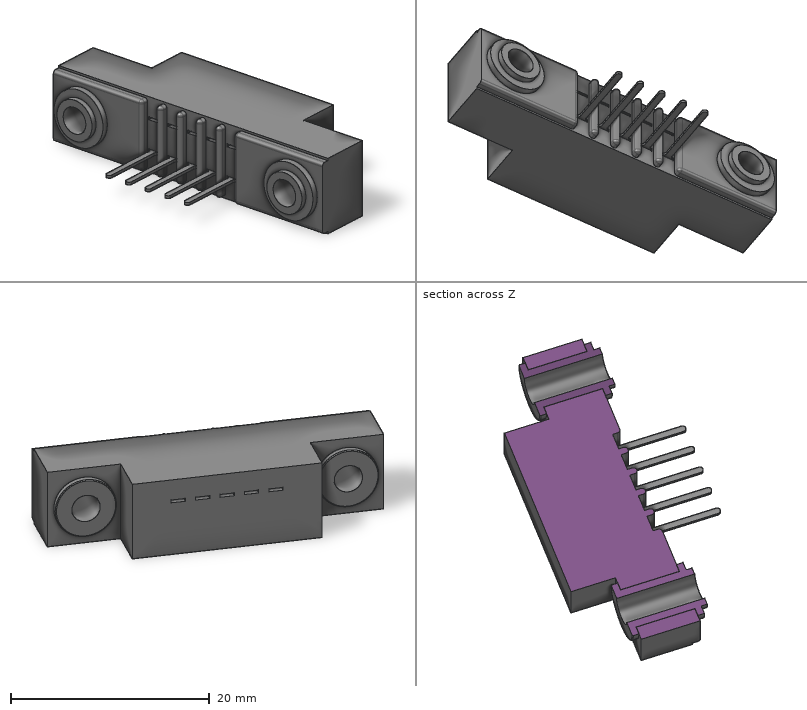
import cadquery as cq


LENGTH = 34.92
HEIGHT = 8.38
BODY_DEPTH = 5.48
TONGUE_LENGTH = 19.7
TONGUE_REACH = 10.23

RAISED_DEPTH = 0.87
RAISED_HEIGHT = 7.9
PAD_INNER_X = 5.95
RIB_WIDTH = 0.77
EDGE_RADIUS = RIB_WIDTH / 2

PIN_COUNT = 5
PIN_SPAN = 10.15
PITCH = PIN_SPAN / (PIN_COUNT - 1)
ROW_OFFSET = 1.78
SLOT_WIDTH = 1.45
SLOT_HEIGHT = 0.3

PIN_WIDTH = 0.65
PIN_REACH = 7.47
BLADE_DEPTH = 2.8
FLARE_RADIUS = (SLOT_WIDTH - PIN_WIDTH) / 2

EYELET_X = 13.62
BORE_RADIUS = 1.45
BARREL_RADIUS = 2.27
FLANGE_RADIUS = 3.18
FLANGE_THICKNESS = 0.7
COLLAR_LENGTH = 0.63
REAR_CHAMFER = 0.1


def centred_positions(count):
    """X positions of `count` features at the contact pitch, centred on X = 0."""
    return [(i - (count - 1) / 2) * PITCH for i in range(count)]


PIN_XS = centred_positions(PIN_COUNT)
RIB_XS = centred_positions(PIN_COUNT - 1)
EYELET_XS = [-EYELET_X, EYELET_X]


def block(x_size, y_start, y_end, z_size, x=0.0, z=0.0):
    """Box centred on x and z that spans y_start to y_end."""
    box = cq.Workplane("XY").box(x_size, y_end - y_start, z_size)
    return box.translate((x, (y_start + y_end) / 2, z))


def disc(radius, y_start, y_end, x=0.0):
    """Cylinder along Y that spans y_start to y_end."""
    return cq.Workplane("XZ", origin=(x, y_start, 0)).circle(radius).extrude(y_start - y_end)


def make_pad():
    """Raised pad at the +X end, rounded everywhere but on its outer end and its base."""
    pad_length = LENGTH / 2 - PAD_INNER_X
    pad_x = PAD_INNER_X + pad_length / 2
    pad = block(pad_length, -RAISED_DEPTH, 0, RAISED_HEIGHT, x=pad_x)
    return pad.edges("(<X and |Y) or (<Y and (not >X))").fillet(EDGE_RADIUS)


def make_rib(x):
    """Upright rib with a half-round crest and domed ends."""
    crest_y = EDGE_RADIUS - RAISED_DEPTH
    straight = RAISED_HEIGHT - RIB_WIDTH
    rib = cq.Workplane("XZ", origin=(x, 0, 0)).slot2D(RAISED_HEIGHT, RIB_WIDTH, 90).extrude(-crest_y)
    crest = cq.Workplane("XY", origin=(x, crest_y, -straight / 2)).circle(EDGE_RADIUS).extrude(straight)
    rib = rib.union(crest)
    for end_z in (-straight / 2, straight / 2):
        rib = rib.union(cq.Workplane("XY", origin=(x, crest_y, end_z)).sphere(EDGE_RADIUS))
    return rib


def make_housing():
    housing = block(LENGTH, 0, BODY_DEPTH, HEIGHT)
    housing = housing.union(block(TONGUE_LENGTH, 0, TONGUE_REACH, HEIGHT))

    pad = make_pad()
    housing = housing.union(pad).union(pad.mirror("YZ"))
    for x in RIB_XS:
        housing = housing.union(make_rib(x))

    for x in PIN_XS:
        housing = housing.cut(block(SLOT_WIDTH, 0, TONGUE_REACH, SLOT_HEIGHT, x=x, z=ROW_OFFSET))
        housing = housing.cut(block(SLOT_WIDTH, 0, BLADE_DEPTH, SLOT_HEIGHT, x=x, z=-ROW_OFFSET))

    for x in EYELET_XS:
        housing = housing.cut(disc(BARREL_RADIUS, -RAISED_DEPTH, BODY_DEPTH, x=x))
    return housing


def make_pin(x):
    """Flat pin: a wide blade in the housing, a concave flare and a round-tipped tail."""
    half_blade = SLOT_WIDTH / 2
    half_tail = PIN_WIDTH / 2
    tip_start = half_tail - PIN_REACH
    profile = (
        cq.Workplane("XY", origin=(x, 0, -ROW_OFFSET - SLOT_HEIGHT / 2))
        .moveTo(-half_blade, BLADE_DEPTH)
        .lineTo(-half_blade, 0)
        .radiusArc((-half_tail, -FLARE_RADIUS), FLARE_RADIUS)
        .lineTo(-half_tail, tip_start)
        .threePointArc((0, -PIN_REACH), (half_tail, tip_start))
        .lineTo(half_tail, -FLARE_RADIUS)
        .radiusArc((half_blade, 0), FLARE_RADIUS)
        .lineTo(half_blade, BLADE_DEPTH)
        .close()
    )
    return profile.extrude(SLOT_HEIGHT)


def make_eyelet(x):
    """Tubular eyelet: a barrel through the housing, a flange on each face and a front collar."""
    front_flange_y = -RAISED_DEPTH - FLANGE_THICKNESS
    rear_flange_y = BODY_DEPTH + FLANGE_THICKNESS
    eyelet = disc(BARREL_RADIUS, front_flange_y - COLLAR_LENGTH, BODY_DEPTH, x=x)
    eyelet = eyelet.union(disc(FLANGE_RADIUS, front_flange_y, -RAISED_DEPTH, x=x))
    rear_flange = disc(FLANGE_RADIUS, BODY_DEPTH, rear_flange_y, x=x).faces(">Y").chamfer(REAR_CHAMFER)
    eyelet = eyelet.union(rear_flange)
    return eyelet.cut(disc(BORE_RADIUS, front_flange_y - COLLAR_LENGTH, rear_flange_y, x=x))


housing = make_housing()
pins = [make_pin(x) for x in PIN_XS]
eyelets = [make_eyelet(x) for x in EYELET_XS]

result = cq.Compound.makeCompound(
    [housing.val(), *[pin.val() for pin in pins], *[eyelet.val() for eyelet in eyelets]]
)